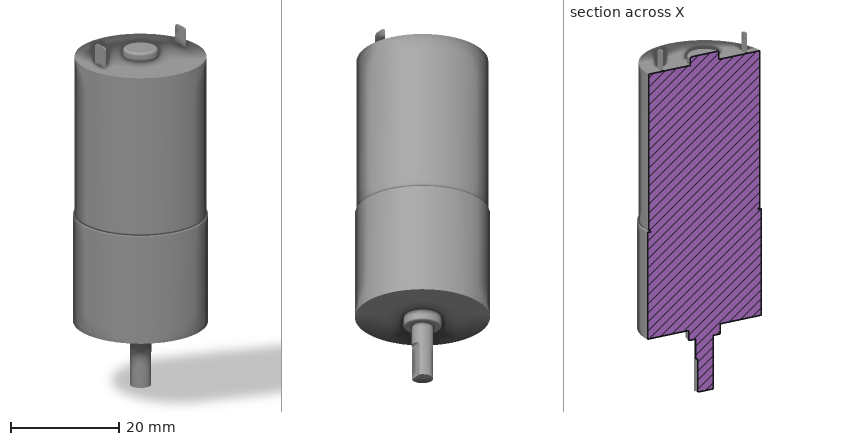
import cadquery as cq

shaft_length = 10.5
collar_height = 2.0
gearbox_height = 21.0
motor_height = 31.0
total_height = 68.5

collar_bottom = shaft_length
gearbox_bottom = collar_bottom + collar_height
motor_bottom = gearbox_bottom + gearbox_height
motor_top = motor_bottom + motor_height
terminal_height = total_height - motor_top

shaft_diameter = 4.0
collar_diameter = 7.0
gearbox_diameter = 25.0
motor_diameter = 24.4
can_fillet = 0.5
cap_diameter = 6.45
cap_height = 1.65
cap_fillet = 0.5
collar_fillet = 0.3

flat_length = 6.65
flat_depth = 0.5
flat_end_radius = 0.4

terminal_width = 3.0
terminal_thickness = 0.3
terminal_spacing = 18.35
terminal_corner_radius = 0.5


def cylinder(diameter, bottom, height):
    """Upright cylinder on the motor axis."""
    return cq.Workplane("XY").workplane(offset=bottom).circle(diameter / 2).extrude(height)


def make_shaft():
    """Output shaft with a round-ended flat that runs up from its tip."""
    shaft = cylinder(shaft_diameter, 0, shaft_length)
    flat_y = shaft_diameter / 2 - flat_depth
    flat_cut = (
        cq.Workplane("XY")
        .box(shaft_diameter, flat_depth, flat_length, centered=(True, False, False))
        .edges("|X and >Z and <Y")
        .fillet(flat_end_radius)
        .translate((0, flat_y, 0))
    )
    return shaft.cut(flat_cut)


def make_motor_can():
    """Motor can, rounded at the rim where it meets the gearbox."""
    can = cylinder(motor_diameter, motor_bottom, motor_height)
    return can.faces("<Z").edges().fillet(can_fillet)


def make_terminal(y):
    """Flat upright tab with rounded top corners."""
    return (
        cq.Workplane("XY")
        .box(terminal_width, terminal_thickness, terminal_height, centered=(True, True, False))
        .edges("|Y and >Z")
        .fillet(terminal_corner_radius)
        .translate((0, y, motor_top))
    )


collar = cylinder(collar_diameter, collar_bottom, collar_height).faces("<Z").edges().fillet(collar_fillet)
gearbox = cylinder(gearbox_diameter, gearbox_bottom, gearbox_height)
bearing_cap = cylinder(cap_diameter, motor_top, cap_height).faces(">Z").edges().fillet(cap_fillet)

result = make_shaft().union(collar).union(gearbox).union(make_motor_can()).union(bearing_cap)
for side in (-1, 1):
    result = result.union(make_terminal(side * terminal_spacing / 2))